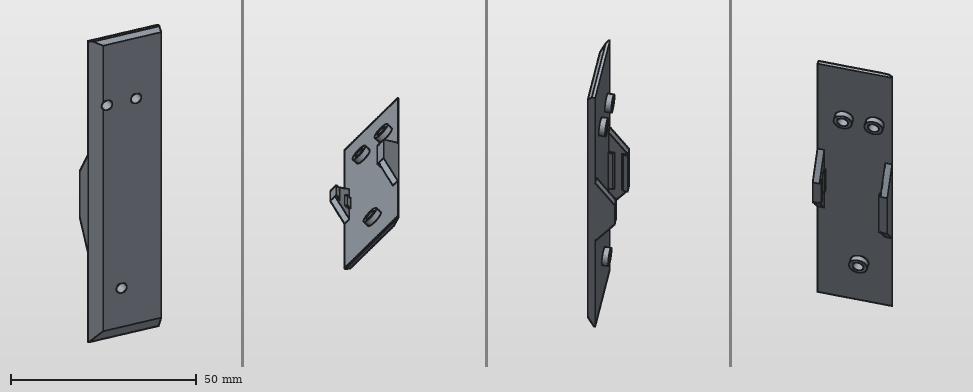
import cadquery as cq

depth = 7.4
width = 20.7
height = 95.0

plate_thickness = 2.1
back_x = depth - plate_thickness
edge_bevel_length = 3.6
edge_land = 0.4
top_bevel_height = 1.2
top_land = 0.95

boss_diameter = 5.0
hole_diameter = 3.0
boss_height = 1.7
upper_hole_z = 74.7
lower_hole_z = 15.9
hole_spacing = 8.55
hole_center_y = 9.0

clip_thickness = 1.9
clip_slope_height = 8.0
lip_overhang = 0.5
lip_depth = 1.7
right_clip_bottom_z = 35.6
right_clip_flat = 8.1
left_clip_bottom_z = 28.2
left_clip_flat = 14.8


def make_plate():
    """Plate with bevelled top and bottom ends and a bevelled -Y edge."""
    side_outline = [
        (back_x, 0),
        (back_x + edge_land, 0),
        (depth, edge_bevel_length),
        (depth, height - top_bevel_height),
        (back_x + top_land, height),
        (back_x, height),
    ]
    plate = cq.Workplane("XZ").polyline(side_outline).close().extrude(-width)
    edge_waste = (
        cq.Workplane("XY")
        .polyline([(back_x + edge_land, 0), (depth, 0), (depth, edge_bevel_length)])
        .close()
        .extrude(height)
    )
    return plate.cut(edge_waste)


def make_clip(bottom_z, flat_length):
    """Clip on the -Y edge: a trapezoid wall with 45-degree-flanked lips at its tip and root."""
    flat_bottom_z = bottom_z + clip_slope_height
    flat_top_z = flat_bottom_z + flat_length
    clip = (
        cq.Workplane("XZ")
        .polyline([
            (back_x, bottom_z),
            (0, flat_bottom_z),
            (0, flat_top_z),
            (back_x, flat_top_z + clip_slope_height),
        ])
        .close()
        .extrude(-clip_thickness)
    )
    lip_y = clip_thickness + lip_overhang
    for outer_x, direction in ((0, 1), (back_x, -1)):
        lip = (
            cq.Workplane("XY", origin=(0, 0, flat_bottom_z))
            .polyline([
                (outer_x, 0),
                (outer_x + direction * lip_depth, 0),
                (outer_x + direction * lip_depth, clip_thickness),
                (outer_x + direction * (lip_depth - lip_overhang), lip_y),
                (outer_x, lip_y),
            ])
            .close()
            .extrude(flat_length)
        )
        clip = clip.union(lip)
    return clip


left_clip = make_clip(left_clip_bottom_z, left_clip_flat)
right_clip = (
    make_clip(right_clip_bottom_z, right_clip_flat)
    .mirror("XZ")
    .translate((0, width, 0))
)
result = make_plate().union(left_clip).union(right_clip)

hole_places = [
    (hole_center_y - hole_spacing / 2, upper_hole_z),
    (hole_center_y + hole_spacing / 2, upper_hole_z),
    (hole_center_y, lower_hole_z),
]
boss_face = cq.Workplane("YZ", origin=(back_x - boss_height, 0, 0)).pushPoints(hole_places)
bosses = boss_face.circle(boss_diameter / 2).extrude(boss_height)
holes = boss_face.circle(hole_diameter / 2).extrude(boss_height + plate_thickness)
result = result.union(bosses).cut(holes)